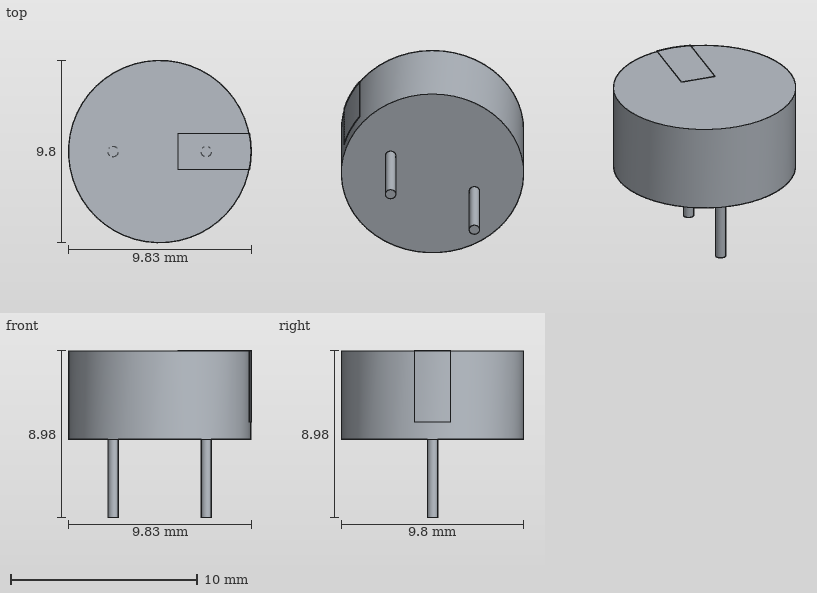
import cadquery as cq

body_diameter = 9.8
overall_length = 9.83
overall_height = 8.98

pin_diameter = 0.56
pin_length = 4.21
pin_spacing = 5.0

label_width = 1.92
label_start = 0.98
label_drop = 3.83
label_side_thickness = overall_length - body_diameter
label_top_thickness = 0.02

body_radius = body_diameter / 2
label_radius = body_radius + label_side_thickness
body_height = overall_height - pin_length - label_top_thickness
label_top = body_height + label_top_thickness


def make_body():
    """Plain cylinder standing on the plane Z = 0."""
    return cq.Workplane("XY").circle(body_radius).extrude(body_height)


def make_pin(x):
    """Round pin hanging from the underside of the body."""
    return cq.Workplane("XY").center(x, 0).circle(pin_diameter / 2).extrude(-pin_length)


def make_label(body):
    """Thin strip lying on the top face and folded down the curved side."""
    strip_length = label_radius - label_start
    outer_shell = cq.Workplane("XY").circle(label_radius).extrude(label_top)
    strip = (
        cq.Workplane("XY", origin=(label_start, 0, label_top))
        .rect(strip_length, label_width, centered=(False, True))
        .extrude(-label_drop)
    )
    return outer_shell.intersect(strip).cut(body)


body = make_body()
pins = [make_pin(side * pin_spacing / 2) for side in (-1, 1)]
label = make_label(body)

result = cq.Compound.makeCompound([body.val(), *[pin.val() for pin in pins], label.val()])